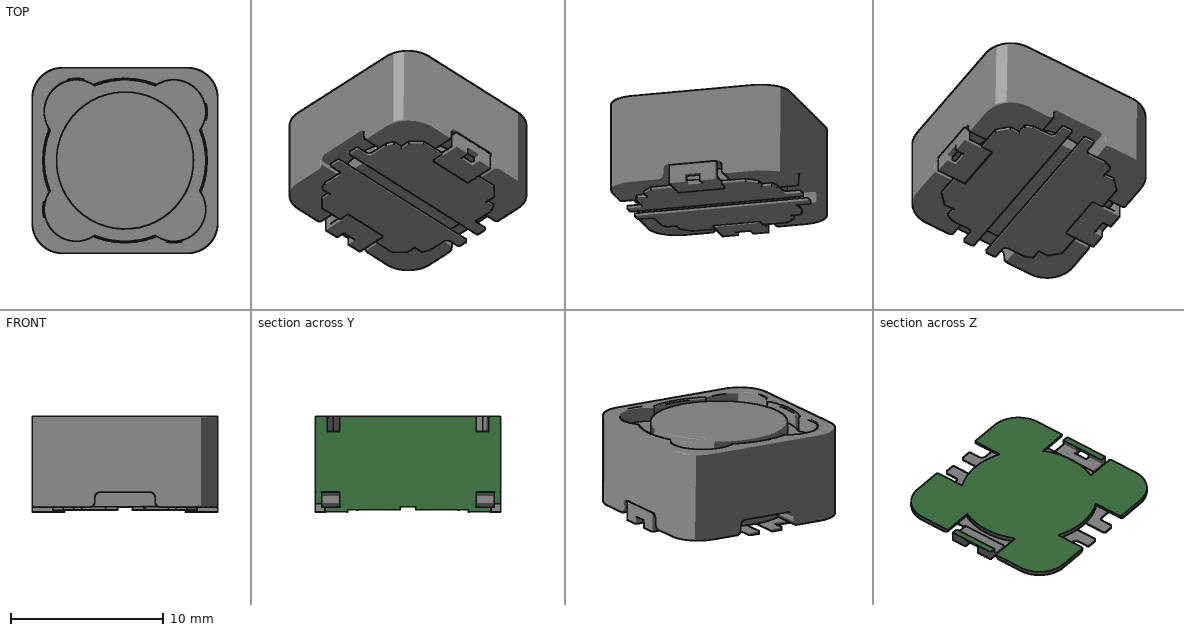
import cadquery as cq

BODY_SIDE = 12.2
TOP_Z = 6.3
BODY_BOTTOM_Z = 0.32
CORNER_RADIUS = 2.0
EDGE_ROUND = 0.1
HALF_SIDE = BODY_SIDE / 2

RECESS_DEPTH = 1.0
RECESS_RADIUS = 5.3
LOBE_RADIUS = 2.1
LOBE_OFFSET = RECESS_RADIUS - LOBE_RADIUS
CORE_RADIUS = 4.5

NOTCH_HALF_WIDTH = 1.98
NOTCH_TOP_Z = 1.3
NOTCH_TOP_RADIUS = 0.35
NOTCH_FLARE_RADIUS = 0.35

TERMINAL_WIDTH = 3.2
TERMINAL_HEIGHT = 1.3
TERMINAL_THICKNESS = 0.45
TERMINAL_FOOT_LENGTH = 2.15
TERMINAL_EDGE_ROUND = 0.05
SLOT_WIDTH = 1.0
SLOT_HEIGHT = 0.53
SLOT_LENGTH = 0.65

PLATE_BOTTOM_Z = 0.12
PLATE_THICKNESS = 0.22
PLATE_INNER_X = 0.48
PIN_OUTER_X = 1.25
PIN_END_Y = 5.95
PIN_ROOT_Y = 4.85
PIN_ROOT_RADIUS = 0.3
PIN_CORNER_RADIUS = 0.1
STEP_X = 2.83
STEP_END_Y = 4.62
SHOULDER_X = 3.35
SHOULDER_Y = 3.95
SHOULDER_END_X = 4.06
PLATE_OUTER_X = 4.74
PLATE_OUTER_Y = 3.25
PLATE_EDGE_ROUND = 0.05


def box_between(low, high):
    size = [b - a for a, b in zip(low, high)]
    return cq.Workplane("XY").box(*size, centered=False).translate(low)


def make_block():
    height = TOP_Z - BODY_BOTTOM_Z
    block = cq.Workplane("XY").workplane(offset=BODY_BOTTOM_Z)
    block = block.rect(BODY_SIDE, BODY_SIDE).extrude(height)
    return block.edges("|Z").fillet(CORNER_RADIUS)


def make_core():
    """Round core with a rounded lower rim; its upper rim is rounded with the body's top edges."""
    core = cq.Workplane("XY").workplane(offset=BODY_BOTTOM_Z).circle(CORE_RADIUS)
    core = core.extrude(TOP_Z - BODY_BOTTOM_Z)
    return core.faces("<Z").edges().fillet(EDGE_ROUND)


def make_notch():
    """Flared notch through the -Y wall, ending at the round core."""
    flare_x = NOTCH_HALF_WIDTH + NOTCH_FLARE_RADIUS
    flare_z = BODY_BOTTOM_Z + NOTCH_FLARE_RADIUS
    shoulder_z = NOTCH_TOP_Z - NOTCH_TOP_RADIUS
    shoulder_x = NOTCH_HALF_WIDTH - NOTCH_TOP_RADIUS
    profile = (
        cq.Workplane("XZ")
        .moveTo(-flare_x, BODY_BOTTOM_Z)
        .radiusArc((-NOTCH_HALF_WIDTH, flare_z), -NOTCH_FLARE_RADIUS)
        .lineTo(-NOTCH_HALF_WIDTH, shoulder_z)
        .radiusArc((-shoulder_x, NOTCH_TOP_Z), NOTCH_TOP_RADIUS)
        .lineTo(shoulder_x, NOTCH_TOP_Z)
        .radiusArc((NOTCH_HALF_WIDTH, shoulder_z), NOTCH_TOP_RADIUS)
        .lineTo(NOTCH_HALF_WIDTH, flare_z)
        .radiusArc((flare_x, BODY_BOTTOM_Z), -NOTCH_FLARE_RADIUS)
        .close()
    )
    return profile.extrude(HALF_SIDE).cut(make_core())


def make_recess():
    """Circle with four corner lobes, leaving the core standing."""
    floor = cq.Workplane("XY").workplane(offset=TOP_Z - RECESS_DEPTH)
    recess = floor.circle(RECESS_RADIUS).extrude(RECESS_DEPTH)
    lobe_span = 2 * LOBE_OFFSET
    lobes = floor.rect(lobe_span, lobe_span, forConstruction=True).vertices()
    recess = recess.union(lobes.circle(LOBE_RADIUS).extrude(RECESS_DEPTH))
    return recess.cut(make_core())


def make_body():
    body = make_block()
    notch = make_notch()
    for quarter_turn in range(4):
        body = body.cut(notch.rotate((0, 0, 0), (0, 0, 1), 90 * quarter_turn))
    body = body.faces("<Y").edges("<Z").fillet(EDGE_ROUND)
    body = body.cut(make_recess())
    return body.faces(">Z").edges().fillet(EDGE_ROUND)


def make_terminal():
    """L-shaped strip on the -X side with a slot across its bend."""
    half_width = TERMINAL_WIDTH / 2
    wall = box_between(
        (-HALF_SIDE, -half_width, 0), (-HALF_SIDE + TERMINAL_THICKNESS, half_width, TERMINAL_HEIGHT)
    )
    foot = box_between(
        (-HALF_SIDE, -half_width, 0),
        (-HALF_SIDE + TERMINAL_FOOT_LENGTH, half_width, BODY_BOTTOM_Z),
    )
    strip = wall.union(foot)
    slot = box_between(
        (-HALF_SIDE, -SLOT_WIDTH / 2, 0), (-HALF_SIDE + SLOT_LENGTH, SLOT_WIDTH / 2, SLOT_HEIGHT)
    )
    return strip.cut(slot).edges().fillet(TERMINAL_EDGE_ROUND)


def make_lead_plate():
    """Stepped plate on the -X side with a pin at each end."""
    half_plate = (
        cq.Workplane("XY")
        .workplane(offset=PLATE_BOTTOM_Z)
        .moveTo(-PLATE_INNER_X, 0)
        .lineTo(-PLATE_INNER_X, -PIN_END_Y)
        .lineTo(-PIN_OUTER_X, -PIN_END_Y)
        .lineTo(-PIN_OUTER_X, -PIN_ROOT_Y - PIN_ROOT_RADIUS)
        .radiusArc((-PIN_OUTER_X - PIN_ROOT_RADIUS, -PIN_ROOT_Y), -PIN_ROOT_RADIUS)
        .lineTo(-STEP_X, -PIN_ROOT_Y)
        .lineTo(-SHOULDER_X, -STEP_END_Y)
        .lineTo(-SHOULDER_X, -SHOULDER_Y)
        .lineTo(-SHOULDER_END_X, -SHOULDER_Y)
        .lineTo(-PLATE_OUTER_X, -PLATE_OUTER_Y)
        .lineTo(-PLATE_OUTER_X, 0)
        .close()
        .extrude(PLATE_THICKNESS)
    )
    half_plate = half_plate.faces("<Y").edges("|Z").fillet(PIN_CORNER_RADIUS)
    plate = half_plate.union(half_plate.mirror("XZ"))
    return plate.faces("<Z or >Z").edges().fillet(PLATE_EDGE_ROUND)


leads = make_terminal().union(make_lead_plate())
result = make_body().union(leads).union(leads.mirror("YZ"))